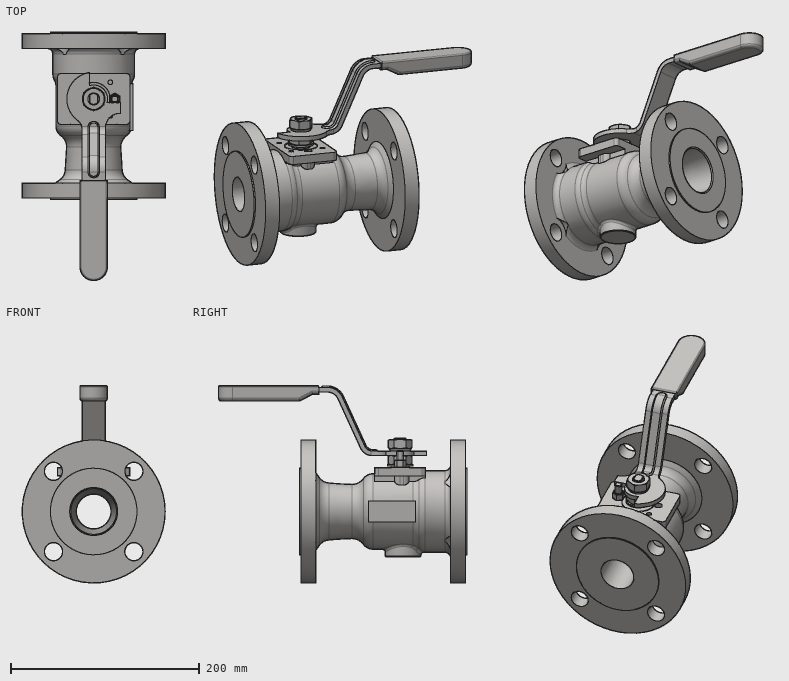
import cadquery as cq
import math


overall_y = 263.86
overall_z = 209.64

flange_d = 152.0
flange_t = 16.0
raised_face_d = 92.0
raised_face_t = 1.6
rear_face_y = 71.0
face_to_face = 178.0
front_face_y = rear_face_y - face_to_face
rear_flange_back_y = rear_face_y - raised_face_t - flange_t
front_flange_back_y = front_face_y + raised_face_t + flange_t

bolt_circle_d = 120.65
bolt_hole_d = 19.0
bolt_count = 4
first_hole_angle = 45
spotface_d = 34.0
spotface_len = 6.0

rear_barrel_r = 87.0 / 2
mid_barrel_r = 40.2
rear_neck_r = 48.6
rear_neck_y = 47.7
rear_step_y = 26.5
mid_step_y = 13.6
shoulder_y = -28.7
shoulder_mid_y = -39.0
shoulder_mid_r = 35.0
waist_y = -51.0
waist_r = 28.9
waist_end_y = -75.6
waist_end_r = 30.4
front_cone_y = -85.4
front_cone_r = 35.5
front_neck_r = 41.2

bore_d = 36.59
bore_mouth_d = 48.6
bore_taper_end_y = -35.0
mouth_chamfer = 1.2

plate_x = 77.0
plate_y = 54.2
plate_t = 9.0
plate_top_z = 46.7
plate_bottom_z = plate_top_z - plate_t
plate_corner_r = 4.0
plate_neck_x = 49.4
plate_neck_foot_z = 25.0
mount_circle_d = 50.0
mount_hole_d = 5.0
mount_hole_count = 4
gland_recess_d = 35.09
gland_recess_depth = 1.0

stop_x = 22.4
stop_hole_d = 7.92
stop_hole_depth = 12.0
stop_boss_r = 6.4
stop_boss_shift = 3.5

drain_boss_d = 37.97
drain_boss_y = 3.1
drain_boss_z = -48.2
drain_boss_chamfer = 0.8
drain_boss_fillet = 3.0

pad_x = 42.0
pad_rear_y = 16.3
pad_front_y = -33.5
pad_height = 21.8

stem_d = 14.29
stem_foot_z = 30.0
stem_top_z = 78.0
stem_tip_d = 12.6
stem_flats = 9.1
stem_tip_chamfer = 0.6
gland_ring_d = 19.89
washer_d = 27.0
washer_bottom_z = 48.2
washer_t = 1.9
washer_top_z = washer_bottom_z + washer_t
lever_t = 5.0
lever_bottom_z = 59.2
lever_top_z = lever_bottom_z + lever_t
nut_flats = 22.0
nut_corner_trim = 0.7
top_nut_collar_d = 21.0
top_nut_collar_rim_d = 24.0
top_nut_collar_t = 2.9
top_nut_top_z = 76.3

stop_head_flats = 10.8
stop_head_t = 8.0
stop_post_w = 6.8
stop_post_corner_r = 1.6
stop_post_top_z = 64.6
stop_post_chamfer = 0.7

wall_tilt_limit = 0.1

lever_disc_r = 28.5
lever_stop_r = 14.8
lever_stop_x = -4.5
lever_tail_x = 28.3
lever_tail_rear_y = -3.9
lever_tail_front_y = -15.2
lever_arm_x = 12.4
lever_root_y = -29.3
lever_blend_r = 12.3
lever_raised_z = 131.8
bend_angle = math.radians(65.4)
lower_bend_r = 9.2
upper_bend_r = 17.5
lever_tang_end_y = -175.0

rib_base_w = 12.0
rib_height = 1.6
rib_chamfer = 1.5
rib_rear_y = -23.9
rib_front_y = -83.7

grip_w = 29.3
grip_rear_y = -86.4
grip_front_y = rear_face_y - overall_y
grip_top_z = overall_z - flange_d / 2
grip_bottom_z = 117.2
grip_root_bottom_z = 124.4
grip_slope_rear_y = -93.0
grip_slope_front_y = -106.6
grip_bottom_fillet = 3.3
grip_top_fillet = 1.4


def disc(diameter, bottom_z, top_z):
    return cq.Workplane("XY").workplane(offset=bottom_z).circle(diameter / 2).extrude(top_z - bottom_z)


def block(size_x, size_y, bottom_z, top_z):
    return cq.Workplane("XY").workplane(offset=bottom_z).rect(size_x, size_y).extrude(top_z - bottom_z)


def hex_prism(flats, bottom_z, top_z):
    """Hexagonal prism on the Z axis with corners on +Y and -Y and its corner tips turned off."""
    corners_d = flats / math.cos(math.pi / 6)
    prism = (
        cq.Workplane("XY")
        .workplane(offset=bottom_z)
        .transformed(rotate=(0, 0, 90))
        .polygon(6, corners_d)
        .extrude(top_z - bottom_z)
    )
    turned = disc(corners_d, bottom_z, top_z).edges().chamfer(nut_corner_trim, 2 * nut_corner_trim)
    return prism.intersect(turned)


def make_barrel():
    """Revolved outside of the body: rear flange, barrel, waist and front flange."""
    rear_flange_y = rear_face_y - raised_face_t
    front_flange_y = front_face_y + raised_face_t
    outline = (
        cq.Workplane("XY")
        .moveTo(0, rear_face_y)
        .lineTo(raised_face_d / 2, rear_face_y)
        .lineTo(raised_face_d / 2, rear_flange_y)
        .lineTo(flange_d / 2, rear_flange_y)
        .lineTo(flange_d / 2, rear_flange_back_y)
        .lineTo(rear_neck_r, rear_flange_back_y)
    )
    neck_run = rear_flange_back_y - rear_neck_y
    neck_rise = rear_neck_r - rear_barrel_r
    neck_fillet_r = (neck_run ** 2 + neck_rise ** 2) / (2 * neck_rise)
    neck_half_angle = math.asin(neck_run / neck_fillet_r) / 2
    outline = outline.threePointArc(
        (
            rear_barrel_r + neck_fillet_r * (1 - math.cos(neck_half_angle)),
            rear_neck_y + neck_fillet_r * math.sin(neck_half_angle),
        ),
        (rear_barrel_r, rear_neck_y),
    )
    step_middle = ((rear_barrel_r + mid_barrel_r) / 2, (rear_step_y + mid_step_y) / 2)
    outline = (
        outline.lineTo(rear_barrel_r, rear_step_y)
        .tangentArcPoint(step_middle, relative=False)
        .tangentArcPoint((mid_barrel_r, mid_step_y), relative=False)
        .lineTo(mid_barrel_r, shoulder_y)
        .tangentArcPoint((shoulder_mid_r, shoulder_mid_y), relative=False)
        .tangentArcPoint((waist_r, waist_y), relative=False)
        .lineTo(waist_end_r, waist_end_y)
        .tangentArcPoint((front_cone_r, front_cone_y), relative=False)
        .lineTo(front_neck_r, front_flange_back_y)
        .lineTo(flange_d / 2, front_flange_back_y)
        .lineTo(flange_d / 2, front_flange_y)
        .lineTo(raised_face_d / 2, front_flange_y)
        .lineTo(raised_face_d / 2, front_face_y)
        .lineTo(0, front_face_y)
        .close()
    )
    return outline.revolve(360, (0, 0, 0), (0, 1, 0))


def flange_pattern(diameter, rear_y, length):
    """Cylinders along Y on the bolt circle, running forward from rear_y."""
    return (
        cq.Workplane("XZ", origin=(0, rear_y, 0))
        .polarArray(bolt_circle_d / 2, first_hole_angle, 360, bolt_count)
        .circle(diameter / 2)
        .extrude(length)
    )


def make_bore():
    """Straight bore that opens out in a long taper to the chamfered front mouth."""
    mouth_r = bore_mouth_d / 2
    return (
        cq.Workplane("XY")
        .moveTo(0, rear_face_y)
        .lineTo(bore_d / 2, rear_face_y)
        .lineTo(bore_d / 2, bore_taper_end_y)
        .lineTo(mouth_r, front_face_y + mouth_chamfer)
        .lineTo(mouth_r + mouth_chamfer, front_face_y)
        .lineTo(0, front_face_y)
        .close()
        .revolve(360, (0, 0, 0), (0, 1, 0))
    )


def make_stop_boss(side):
    """Obround boss under the plate around a stop hole, blending down into the barrel."""
    foot_z = math.sqrt(mid_barrel_r ** 2 - (stop_x + stop_boss_r) ** 2)
    return (
        cq.Workplane("XY")
        .workplane(offset=foot_z)
        .center(side * stop_x, stop_boss_shift / 2)
        .slot2D(stop_boss_shift + 2 * stop_boss_r, 2 * stop_boss_r, 90)
        .extrude(plate_bottom_z - foot_z)
    )


def add_drain_boss(barrel):
    """Drain boss under the barrel, filleted where it meets the barrel."""
    boss = disc(drain_boss_d, drain_boss_z, -plate_neck_foot_z).faces("<Z").chamfer(drain_boss_chamfer)
    joined = barrel.union(boss.translate((0, drain_boss_y, 0)))
    reach = drain_boss_d / 2 + drain_boss_chamfer
    around_joint = cq.selectors.BoxSelector(
        (-reach, drain_boss_y - reach, drain_boss_z + 2 * drain_boss_chamfer),
        (reach, drain_boss_y + reach, -plate_neck_foot_z),
        boundingbox=True,
    )
    return joined.edges(around_joint).fillet(drain_boss_fillet)


def make_body():
    body = make_barrel()
    body = body.cut(flange_pattern(bolt_hole_d, rear_face_y, face_to_face))
    body = body.cut(flange_pattern(spotface_d, rear_flange_back_y, spotface_len))
    body = add_drain_boss(body)

    plate = block(plate_x, plate_y, plate_bottom_z, plate_top_z).edges("|Z").fillet(plate_corner_r)
    body = body.union(block(plate_neck_x, plate_y, plate_neck_foot_z, plate_bottom_z)).union(plate)
    for side in (-1, 1):
        body = body.union(make_stop_boss(side))

    name_pad = block(pad_x, pad_rear_y - pad_front_y, -pad_height / 2, pad_height / 2)
    body = body.union(name_pad.translate((pad_x / 2, (pad_rear_y + pad_front_y) / 2, 0)))

    body = body.cut(make_bore())
    body = body.cut(disc(gland_recess_d, plate_top_z - gland_recess_depth, plate_top_z))
    body = body.cut(disc(stem_d, stem_foot_z, plate_top_z))
    mount_holes = (
        cq.Workplane("XY")
        .workplane(offset=plate_bottom_z)
        .polarArray(mount_circle_d / 2, first_hole_angle, 360, mount_hole_count)
        .circle(mount_hole_d / 2)
        .extrude(plate_t)
    )
    body = body.cut(mount_holes)
    for side in (-1, 1):
        stop_hole = disc(stop_hole_d, plate_top_z - stop_hole_depth, plate_top_z)
        body = body.cut(stop_hole.translate((side * stop_x, 0, 0)))
    return body


def stem_tip(top_z):
    """Flatted upper end of the stem, from the underside of the lever to top_z."""
    round_tip = disc(stem_tip_d, lever_bottom_z, top_z)
    return round_tip.intersect(block(stem_flats, stem_tip_d, lever_bottom_z, top_z))


def make_stem():
    tip = stem_tip(stem_top_z).faces(">Z").chamfer(stem_tip_chamfer)
    return disc(stem_d, stem_foot_z, lever_bottom_z).union(tip)


def ring(outer_d, inner_d, bottom_z, top_z):
    return disc(outer_d, bottom_z, top_z).cut(disc(inner_d, bottom_z, top_z))


def make_gland_ring():
    return ring(gland_ring_d, stem_d, plate_top_z - gland_recess_depth, washer_bottom_z)


def make_washer():
    return ring(washer_d, stem_d, washer_bottom_z, washer_top_z)


def make_lower_nut():
    return hex_prism(nut_flats, washer_top_z, lever_bottom_z).cut(disc(stem_d, washer_top_z, lever_bottom_z))


def make_top_nut():
    """Hexagonal nut on a tapered collar."""
    hex_bottom_z = lever_top_z + top_nut_collar_t
    collar = (
        cq.Workplane("XY")
        .workplane(offset=lever_top_z)
        .circle(top_nut_collar_d / 2)
        .workplane(offset=top_nut_collar_t)
        .circle(top_nut_collar_rim_d / 2)
        .loft(combine=True)
    )
    nut = hex_prism(nut_flats, hex_bottom_z, top_nut_top_z).union(collar)
    return nut.cut(disc(stem_tip_d, lever_top_z, top_nut_top_z))


def make_stop_screw():
    """Shank in the plate, hexagonal head on the plate and a square post beside the lever."""
    head_top_z = plate_top_z + stop_head_t
    shank = disc(stop_hole_d, plate_top_z - stop_hole_depth, plate_top_z)
    post = (
        block(stop_post_w, stop_post_w, head_top_z, stop_post_top_z)
        .edges("|Z")
        .fillet(stop_post_corner_r)
        .faces(">Z")
        .chamfer(stop_post_chamfer)
    )
    screw = hex_prism(stop_head_flats, plate_top_z, head_top_z).union(shank).union(post)
    return screw.translate((stop_x, 0, 0))


def lever_strip(lower, upper, width):
    """Bent strip between two heights above the lever's top surface, centred on X = 0."""
    sin_a = math.sin(bend_angle)
    cos_a = math.cos(bend_angle)
    lower_centre = (lever_root_y, lever_top_z + lower_bend_r)
    upper_centre_z = lever_raised_z - upper_bend_r
    lower_end_z = lower_centre[1] - lower_bend_r * cos_a
    upper_start_z = upper_centre_z + upper_bend_r * cos_a
    slope_run = (upper_start_z - lower_end_z) * cos_a / sin_a
    upper_centre = (lever_root_y - (lower_bend_r + upper_bend_r) * sin_a - slope_run, upper_centre_z)

    def lower_point(angle, offset):
        radius = lower_bend_r - offset
        return (lower_centre[0] - radius * math.sin(angle), lower_centre[1] - radius * math.cos(angle))

    def upper_point(angle, offset):
        radius = upper_bend_r + offset
        return (upper_centre[0] + radius * math.sin(angle), upper_centre[1] + radius * math.cos(angle))

    half = bend_angle / 2
    outline = (
        cq.Workplane("YZ", origin=(-width / 2, 0, 0))
        .moveTo(lever_disc_r, lever_top_z + upper)
        .lineTo(*lower_point(0, upper))
        .threePointArc(lower_point(half, upper), lower_point(bend_angle, upper))
        .lineTo(*upper_point(bend_angle, upper))
        .threePointArc(upper_point(half, upper), upper_point(0, upper))
        .lineTo(lever_tang_end_y, lever_raised_z + upper)
        .lineTo(lever_tang_end_y, lever_raised_z + lower)
        .lineTo(*upper_point(0, lower))
        .threePointArc(upper_point(half, lower), upper_point(bend_angle, lower))
        .lineTo(*lower_point(bend_angle, lower))
        .threePointArc(lower_point(half, lower), lower_point(0, lower))
        .lineTo(lever_disc_r, lever_top_z + lower)
        .close()
    )
    return outline.extrude(width)


def make_lever_plan():
    """Plan outline of the lever: notched disc, stop tail and straight arm, as a tall prism."""
    disc_stop_y = math.sqrt(lever_disc_r ** 2 - lever_stop_x ** 2)
    notch_y = math.sqrt(lever_stop_r ** 2 - lever_stop_x ** 2)
    notch_x = math.sqrt(lever_stop_r ** 2 - lever_tail_rear_y ** 2)
    diagonal = math.sqrt(0.5)
    tail_r = lever_tail_x - lever_arm_x

    blend_x = -lever_arm_x - lever_blend_r
    blend_y = -math.sqrt((lever_disc_r + lever_blend_r) ** 2 - blend_x ** 2)
    touch_ratio = lever_disc_r / (lever_disc_r + lever_blend_r)
    blend_half_angle = math.atan2(-blend_y, -blend_x) / 2
    blend_middle = (
        blend_x + lever_blend_r * math.cos(blend_half_angle),
        blend_y + lever_blend_r * math.sin(blend_half_angle),
    )
    plan = (
        cq.Workplane("XY")
        .moveTo(lever_stop_x, disc_stop_y)
        .lineTo(lever_stop_x, notch_y)
        .threePointArc((lever_stop_r * diagonal, lever_stop_r * diagonal), (notch_x, lever_tail_rear_y))
        .lineTo(lever_tail_x, lever_tail_rear_y)
        .lineTo(lever_tail_x, lever_tail_front_y)
        .threePointArc(
            (lever_tail_x - tail_r * diagonal, lever_tail_front_y - tail_r * (1 - diagonal)),
            (lever_arm_x, lever_tail_front_y - tail_r),
        )
        .lineTo(lever_arm_x, lever_tang_end_y)
        .lineTo(-lever_arm_x, lever_tang_end_y)
        .lineTo(-lever_arm_x, blend_y)
        .threePointArc(blend_middle, (blend_x * touch_ratio, blend_y * touch_ratio))
        .threePointArc((-lever_disc_r, 0), (lever_stop_x, disc_stop_y))
        .close()
    )
    return plan.extrude(grip_top_z)


def make_rib():
    """Stiffening rib with sloping sides that follows the bent top of the lever."""
    rib_len = rib_rear_y - rib_front_y
    rib_plan = (
        cq.Workplane("XY")
        .center(0, (rib_rear_y + rib_front_y) / 2)
        .slot2D(rib_len, rib_base_w, 90)
        .extrude(grip_top_z)
    )
    rib = lever_strip(0, rib_height, rib_base_w).intersect(rib_plan)
    crest = rib.faces().filter(lambda face: face.normalAt().z > wall_tilt_limit)
    return crest.edges("not(|X)").chamfer(rib_chamfer)


def make_lever():
    lever = lever_strip(-lever_t, 0, 2 * lever_disc_r).intersect(make_lever_plan())
    return lever.union(make_rib()).cut(stem_tip(lever_top_z))


def make_grip(lever):
    """Round-ended moulded sleeve, thinner at its root, with a pocket for the lever."""
    half_w = grip_w / 2
    arc_y = grip_front_y + half_w
    grip = (
        cq.Workplane("XY")
        .workplane(offset=grip_bottom_z)
        .moveTo(-half_w, grip_rear_y)
        .lineTo(-half_w, arc_y)
        .threePointArc((0, grip_front_y), (half_w, arc_y))
        .lineTo(half_w, grip_rear_y)
        .close()
        .extrude(grip_top_z - grip_bottom_z)
    )
    root_relief = (
        cq.Workplane("YZ", origin=(-half_w, 0, 0))
        .moveTo(grip_rear_y, grip_bottom_z)
        .lineTo(grip_rear_y, grip_root_bottom_z)
        .lineTo(grip_slope_rear_y, grip_root_bottom_z)
        .lineTo(grip_slope_front_y, grip_bottom_z)
        .close()
        .extrude(grip_w)
    )
    grip = grip.cut(root_relief)
    underside = grip.faces().filter(lambda face: face.normalAt().z < -wall_tilt_limit)
    grip = underside.edges("not(|X)").fillet(grip_bottom_fillet)
    grip = grip.faces(">Z").edges().fillet(grip_top_fillet)
    return grip.cut(lever)


body = make_body()
stem = make_stem()
gland_ring = make_gland_ring()
washer = make_washer()
lower_nut = make_lower_nut()
lever = make_lever()
top_nut = make_top_nut()
grip = make_grip(lever)
stop_screw = make_stop_screw()

bodies = [body, stem, gland_ring, washer, lower_nut, lever, top_nut, grip, stop_screw]
result = cq.Compound.makeCompound([part.val() for part in bodies])